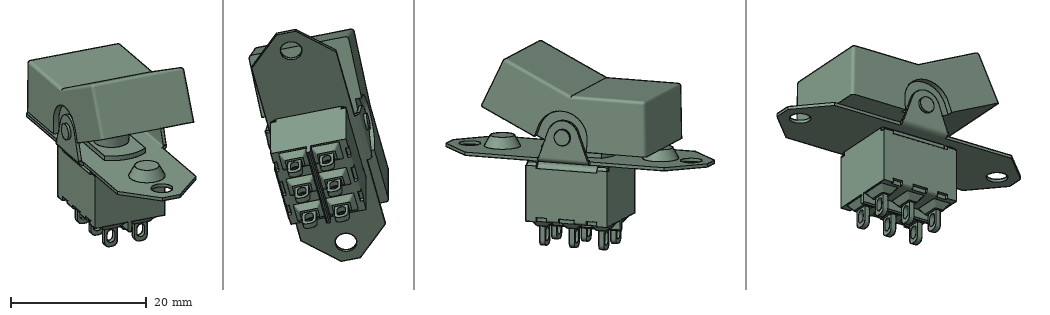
import cadquery as cq
import math


plate_length = 41.25
plate_width = 12.8
plate_thickness = 0.5
plate_corner = 4.95
mount_hole_diameter = 3.18
mount_hole_spacing = 34.9
mount_hole_center = -0.05

stop_base_diameter = 5.35
stop_top_diameter = 3.6
stop_height = 1.6
stop_spacing = 24.95
stop_center = -0.2

pivot_z = 4.05
ear_outer_y = 7.15
ear_thickness = plate_thickness
ear_radius = 2.48
ear_base_half = 3.85
bend_half = 4.0
bend_radius = ear_outer_y - plate_width / 2
pin_diameter = 2.45
pin_end_y = 7.55

bushing_diameter = 5.2
nut_diameter = 11.47
nut_flats = 6.7
nut_height = 0.75

rocker_tilt = 12.5
rocker_width = 15.1
rocker_kink_height = 6.5
rocker_top_half = 11.45
rocker_bottom_half = 13.37
rocker_bottom_drop = 2.0
rocker_fillet = 0.5
pocket_radius = 4.0
pocket_flare = 8.0
pocket_reach = 6.6
pocket_floor_y = ear_outer_y - ear_thickness

body_length = 12.88
body_width = 11.4
body_top = -0.45
body_bottom = -9.33
saddle_half = 4.8
saddle_bulge = 0.65
cove_radius = 0.83
saddle_fillet = 0.4
corner_chamfer = 0.45
corner_recess = 0.12
corner_width = 0.8
corner_height = 0.5
slot_height = 0.65
slot_depth = 0.5
tab_center = 2.2
tab_width = 1.9
tab_radius = 0.4
rib_width = 0.65
rib_height = 1.6
rib_chamfer = 0.2

terminal_pitch = 4.65
terminal_y = 2.45
terminal_thickness = 0.83
terminal_width = 2.05
terminal_bottom = -13.37
terminal_corner = 0.8
eye_width = 1.25
eye_length = 2.02
eye_z = -11.7
seat_top = (3.05, 4.3)
seat_bottom = (1.5, 2.72)
seat_fillet = 0.3
seat_height = 1.0


def block(x_size, y_size, z_low, z_high, x=0.0, y=0.0):
    """Upright box centred on (x, y) between two heights."""
    box = cq.Workplane("XY").box(x_size, y_size, z_high - z_low, centered=(True, True, False))
    return box.translate((x, y, z_low))


def both_sides(solid):
    """The solid together with its mirror image across the XZ plane."""
    return solid.union(solid.mirror("XZ"))


def make_plate():
    plate = block(plate_length, plate_width, 0, plate_thickness)
    plate = plate.edges("|Z").chamfer(plate_corner)
    hole_x = [mount_hole_center + side * mount_hole_spacing / 2 for side in (-1, 1)]
    holes = cq.Workplane("XY").pushPoints([(x, 0) for x in hole_x]).circle(mount_hole_diameter / 2)
    plate = plate.cut(holes.extrude(plate_thickness))
    for side in (-1, 1):
        stop = (
            cq.Workplane("XY", origin=(stop_center + side * stop_spacing / 2, 0, plate_thickness))
            .circle(stop_base_diameter / 2)
            .workplane(offset=stop_height)
            .circle(stop_top_diameter / 2)
            .loft()
        )
        plate = plate.union(stop)
    return plate


def make_ear():
    """Ear on the -Y side: bend strip, tapered upright with a round top, and pivot pin."""
    inner_y = ear_outer_y - ear_thickness
    strip = (
        cq.Workplane("YZ")
        .moveTo(-plate_width / 2, 0)
        .radiusArc((-ear_outer_y, bend_radius), bend_radius)
        .lineTo(-inner_y, bend_radius)
        .radiusArc((-plate_width / 2, plate_thickness), ear_thickness - bend_radius)
        .close()
        .extrude(bend_half, both=True)
    )

    base_drop = pivot_z - bend_radius
    base_distance = math.hypot(ear_base_half, base_drop)
    tangent_angle = math.acos(ear_radius / base_distance) - math.atan2(base_drop, ear_base_half)
    tangent_x = ear_radius * math.cos(tangent_angle)
    tangent_z = pivot_z + ear_radius * math.sin(tangent_angle)
    upright = (
        cq.Workplane("XZ", origin=(0, -inner_y, 0))
        .moveTo(-ear_base_half, bend_radius)
        .lineTo(-tangent_x, tangent_z)
        .threePointArc((0, pivot_z + ear_radius), (tangent_x, tangent_z))
        .lineTo(ear_base_half, bend_radius)
        .close()
        .extrude(ear_thickness)
    )
    pin = (
        cq.Workplane("XZ", origin=(0, -inner_y, pivot_z))
        .circle(pin_diameter / 2)
        .extrude(pin_end_y - inner_y)
    )
    return strip.union(upright).union(pin)


def make_nut_and_bushing():
    nut = cq.Workplane("XY", origin=(0, 0, plate_thickness)).circle(nut_diameter / 2).extrude(nut_height)
    flats = block(nut_diameter, nut_flats, plate_thickness, plate_thickness + nut_height)
    bushing = cq.Workplane("XY").circle(bushing_diameter / 2).extrude(pivot_z)
    return nut.intersect(flats).union(bushing)


def make_rocker():
    slope = math.tan(math.radians(rocker_tilt))
    top_z = rocker_kink_height + rocker_top_half * slope
    bottom_z = rocker_bottom_half * slope - rocker_bottom_drop
    rocker = (
        cq.Workplane("XZ")
        .polyline([
            (0, rocker_kink_height),
            (rocker_top_half, top_z),
            (rocker_bottom_half, bottom_z),
            (0, -rocker_bottom_drop),
            (-rocker_bottom_half, bottom_z),
            (-rocker_top_half, top_z),
        ])
        .close()
        .extrude(rocker_width / 2, both=True)
    )

    clear = 0.4
    far = rocker_bottom_half
    outer_edges = (
        cq.selectors.BoxSelector((clear, -far, bottom_z + clear), (far, far, top_z + clear))
        + cq.selectors.BoxSelector((-far, -far, bottom_z + clear), (-clear, far, top_z + clear))
    )
    rocker = rocker.edges(outer_edges).fillet(rocker_fillet)

    flare = math.radians(pocket_flare)
    tangent_x = pocket_radius * math.cos(flare)
    tangent_z = pocket_radius * math.sin(flare)
    mouth_x = tangent_x + (pocket_reach + tangent_z) * math.tan(flare)
    pocket = (
        cq.Workplane("XZ", origin=(0, -pocket_floor_y, 0))
        .moveTo(-tangent_x, tangent_z)
        .threePointArc((0, pocket_radius), (tangent_x, tangent_z))
        .lineTo(mouth_x, -pocket_reach)
        .lineTo(-mouth_x, -pocket_reach)
        .close()
        .extrude(rocker_width / 2 - pocket_floor_y)
    )
    rocker = rocker.cut(both_sides(pocket))
    return rocker.rotate((0, 0, 0), (0, 1, 0), -rocker_tilt).translate((0, 0, pivot_z))


def make_body():
    half_length = body_length / 2
    half_width = body_width / 2
    body = block(body_length, body_width, body_bottom, body_top)

    chamfer = (
        cq.Workplane("YZ")
        .polyline([
            (-half_width, body_top),
            (-half_width, body_top - corner_chamfer),
            (corner_chamfer - half_width, body_top),
        ])
        .close()
        .extrude(half_length, both=True)
    )
    body = body.cut(both_sides(chamfer))

    cove = (
        cq.Workplane("YZ", origin=(-saddle_half, -half_width, body_top))
        .circle(cove_radius)
        .extrude(2 * saddle_half)
    )
    body = body.cut(both_sides(cove))

    for side in (-1, 1):
        recess = block(
            corner_recess, corner_width, body_top - corner_height, body_top,
            side * (half_length - corner_recess / 2), corner_width / 2 - half_width,
        )
        body = body.cut(both_sides(recess))

    saddle_y = half_width - cove_radius
    bow = saddle_half + saddle_bulge
    saddle = (
        cq.Workplane("XY", origin=(0, 0, body_top))
        .moveTo(-saddle_half, -saddle_y)
        .lineTo(saddle_half, -saddle_y)
        .threePointArc((bow, 0), (saddle_half, saddle_y))
        .lineTo(-saddle_half, saddle_y)
        .threePointArc((-bow, 0), (-saddle_half, -saddle_y))
        .close()
        .extrude(-body_top)
        .faces(">Z")
        .edges()
        .fillet(saddle_fillet)
    )
    body = body.union(saddle)

    slot_y = slot_depth / 2 - half_width
    slot_top = body_bottom + slot_height
    slot = block(2 * saddle_half, slot_depth, body_bottom, slot_top, 0, slot_y)
    for side in (-1, 1):
        tab = block(tab_width, slot_depth, body_bottom, slot_top, side * tab_center, slot_y)
        slot = slot.cut(tab.edges("|X and <Y and <Z").fillet(tab_radius))
    body = body.cut(both_sides(slot))

    rib = block(body_length, rib_width, body_bottom - rib_height, body_bottom)
    return body.union(rib.faces("<Z").edges("|X").chamfer(rib_chamfer))


def make_terminal():
    """One solder lug with its flared seat, centred on X = Y = 0."""
    seat = (
        cq.Workplane("XY", origin=(0, 0, body_bottom))
        .rect(*seat_top)
        .workplane(offset=-seat_height)
        .rect(*seat_bottom)
        .loft()
    )
    seat = seat.edges("not (|X or |Y)").fillet(seat_fillet)
    lug = block(terminal_thickness, terminal_width, terminal_bottom, body_bottom)
    lug = lug.edges("|X and <Z").fillet(terminal_corner)
    eye = (
        cq.Workplane("YZ", origin=(0, 0, eye_z))
        .slot2D(eye_length, eye_width, 90)
        .extrude(terminal_thickness, both=True)
    )
    return seat.union(lug.cut(eye))


result = make_body().union(make_plate()).union(both_sides(make_ear()))
result = result.union(make_nut_and_bushing()).union(make_rocker())
terminal = make_terminal()
for column in (-1, 0, 1):
    for row in (-1, 1):
        result = result.union(terminal.translate((column * terminal_pitch, row * terminal_y, 0)))